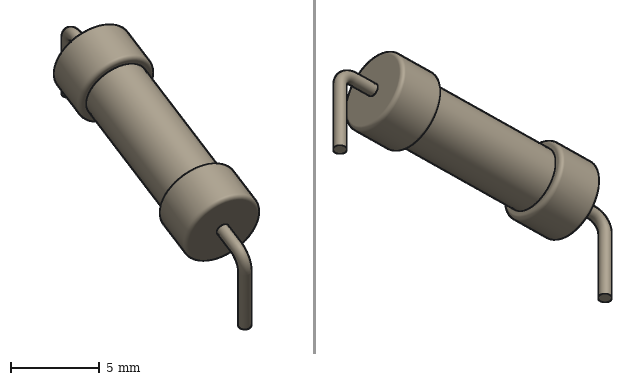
import cadquery as cq

overall_length = 20.8
lead_diameter = 0.8
bend_radius = 1.0
lead_drop = 5.7

capped_length = 15.0
core_diameter = 4.0
cap_diameter = 5.0
cap_length = 3.0
cap_edge_radius = 0.25

lead_x = (overall_length - lead_diameter) / 2
cap_outer_x = capped_length / 2


def x_cylinder(start_x, length, diameter):
    """Cylinder along +X, centred on the body axis."""
    return cq.Workplane("YZ", origin=(start_x, 0, 0)).circle(diameter / 2).extrude(length)


def end_cap():
    """Cap at the +X end with both rims rounded."""
    cap = x_cylinder(cap_outer_x - cap_length, cap_length, cap_diameter)
    return cap.edges("%CIRCLE").fillet(cap_edge_radius)


def bent_lead():
    """Wire at the +X end, swept from the cap face around the bend to its tip."""
    path = (
        cq.Workplane("XZ")
        .moveTo(cap_outer_x, 0)
        .lineTo(lead_x - bend_radius, 0)
        .tangentArcPoint((lead_x, -bend_radius), relative=False)
        .lineTo(lead_x, -lead_drop)
    )
    wire_section = cq.Workplane("YZ", origin=(cap_outer_x, 0, 0)).circle(lead_diameter / 2)
    return wire_section.sweep(path)


core = x_cylinder(-cap_outer_x + cap_length, capped_length - 2 * cap_length, core_diameter)
capped_end = end_cap().union(bent_lead())
result = core.union(capped_end).union(capped_end.mirror("YZ"))